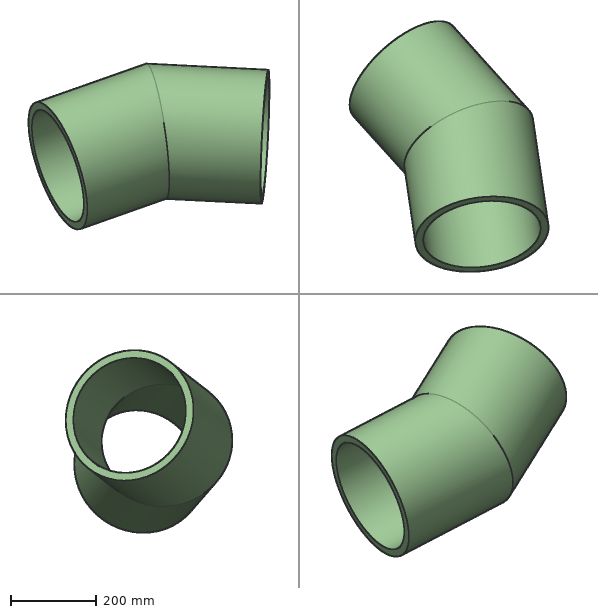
import cadquery as cq
import math

outer_diameter = 315.0
wall = 19.0
bend_angle = 30.0
leg_length = 256.0

outer_radius = outer_diameter / 2
inner_radius = outer_radius - wall
half_bend = math.radians(bend_angle / 2)

mitre_centre = (0, leg_length, 0)
mitre_normal = (math.sin(half_bend), math.cos(half_bend), 0)

longest_side = leg_length + outer_radius * math.tan(half_bend)


def mitred_leg():
    """Tube along +Y with a square open end and a mitred inner end."""
    tube = (
        cq.Workplane("XZ")
        .circle(outer_radius)
        .circle(inner_radius)
        .extrude(-longest_side)
    )
    mitre_plane = cq.Plane(origin=mitre_centre, xDir=(0, 0, 1), normal=mitre_normal)
    beyond_mitre = (
        cq.Workplane(mitre_plane)
        .rect(2 * outer_diameter, 2 * outer_diameter)
        .extrude(outer_diameter)
    )
    return tube.cut(beyond_mitre)


first_leg = mitred_leg()

second_leg = first_leg.mirror(cq.Vector(*mitre_normal), mitre_centre)

result = first_leg.union(second_leg)